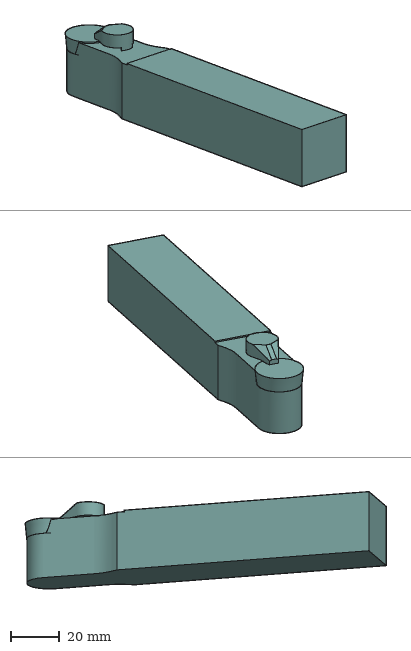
import cadquery as cq
import math

LENGTH = 150.0
SHANK_SIZE = 25.0
NECK_HALF_WIDTH = 9.3
NECK_TOP = 24.5
NECK_END_X = 45.6
FLARE_START_X = 31.8
FLARE_ARC_LENGTH_X = 8.0
FLARE_ANGLE = math.radians(26)

INSERT_RADIUS = 20.0 / 2
INSERT_THICKNESS = 6.3
INSERT_OVERHANG = 0.08
INSERT_BOTTOM_RADIUS = NECK_HALF_WIDTH + INSERT_OVERHANG
INSERT_X = INSERT_RADIUS
INSERT_BOTTOM = SHANK_SIZE - INSERT_THICKNESS

CLAMP_TOP = 31.5
CLAMP_BOTTOM = 25.8
CLAMP_X = 26.5
CLAMP_RADIUS = 6.6
TIP_X = 15.0
TIP_HALF_WIDTH = 4.0 / 2
TIP_EDGE_HEIGHT = 1.6
RIDGE_HALF_WIDTH = 1.12
RIDGE_TOP_X = 20.5
FACET_TOP_X = 23.2
TOE_FLAT = 1.5
TOE_END_X = 19.5
HEEL_FRONT_X = 30.3
HEEL_HALF_WIDTH = 3.0


def make_shank():
    half_width = SHANK_SIZE / 2
    arc_radius = FLARE_ARC_LENGTH_X / math.sin(FLARE_ANGLE)

    def flare_point(angle):
        return (
            FLARE_START_X + arc_radius * math.sin(angle),
            NECK_HALF_WIDTH + arc_radius * (1 - math.cos(angle)),
        )

    def mirrored(point):
        return (point[0], -point[1])

    arc_middle = flare_point(FLARE_ANGLE / 2)
    arc_end = flare_point(FLARE_ANGLE)
    flare_end_x = arc_end[0] + (half_width - arc_end[1]) / math.tan(FLARE_ANGLE)
    flare_end = (flare_end_x, half_width)
    neck_start = (INSERT_X, NECK_HALF_WIDTH)
    body = (
        cq.Workplane("XY")
        .moveTo(*mirrored(neck_start))
        .threePointArc((INSERT_X - NECK_HALF_WIDTH, 0), neck_start)
        .lineTo(FLARE_START_X, NECK_HALF_WIDTH)
        .threePointArc(arc_middle, arc_end)
        .lineTo(*flare_end)
        .lineTo(LENGTH, half_width)
        .lineTo(LENGTH, -half_width)
        .lineTo(*mirrored(flare_end))
        .lineTo(*mirrored(arc_end))
        .threePointArc(mirrored(arc_middle), (FLARE_START_X, -NECK_HALF_WIDTH))
        .close()
        .extrude(SHANK_SIZE)
    )
    lowered_top = (
        cq.Workplane("XY", origin=(NECK_END_X / 2, 0, NECK_TOP))
        .rect(NECK_END_X, 2 * SHANK_SIZE)
        .extrude(SHANK_SIZE)
    )
    return body.cut(lowered_top)


def make_insert():
    """Round disc narrowing towards its bottom face."""
    profile = [
        (0, INSERT_BOTTOM),
        (INSERT_BOTTOM_RADIUS, INSERT_BOTTOM),
        (INSERT_RADIUS, SHANK_SIZE),
        (0, SHANK_SIZE),
    ]
    disc = cq.Workplane("XZ").polyline(profile).close().revolve(360, (0, 0), (0, 1))
    return disc.translate((INSERT_X, 0, 0))


def clamp_outline():
    """Plan of the clamp: a round head with a tail tangent to it, NECK_TOP up to CLAMP_TOP."""
    to_tip_x = CLAMP_X - TIP_X
    tip_distance = math.hypot(to_tip_x, TIP_HALF_WIDTH)
    tangent_angle = (
        math.pi
        - math.atan2(TIP_HALF_WIDTH, to_tip_x)
        - math.acos(CLAMP_RADIUS / tip_distance)
    )
    tangent_x = CLAMP_X + CLAMP_RADIUS * math.cos(tangent_angle)
    tangent_y = CLAMP_RADIUS * math.sin(tangent_angle)
    return (
        cq.Workplane("XY", origin=(0, 0, NECK_TOP))
        .moveTo(TIP_X, -TIP_HALF_WIDTH)
        .lineTo(tangent_x, -tangent_y)
        .threePointArc((CLAMP_X + CLAMP_RADIUS, 0), (tangent_x, tangent_y))
        .lineTo(TIP_X, TIP_HALF_WIDTH)
        .close()
        .extrude(CLAMP_TOP - NECK_TOP)
    )


def above_plane(point, normal):
    """Large block on the side of a plane that its normal points to."""
    block_size = 4 * CLAMP_RADIUS
    plane = cq.Plane(origin=point.toTuple(), normal=normal.toTuple())
    return cq.Workplane(plane).rect(2 * block_size, 2 * block_size).extrude(block_size)


def ridge_top_corner(side):
    return cq.Vector(RIDGE_TOP_X, side * RIDGE_HALF_WIDTH, CLAMP_TOP)


def facet_normal(side):
    """Upward normal of the plane through the ridge's top corner, the rim and a tip corner."""
    rim_half_width = math.sqrt(CLAMP_RADIUS**2 - (CLAMP_X - FACET_TOP_X) ** 2)
    ridge_corner = ridge_top_corner(side)
    rim_point = cq.Vector(FACET_TOP_X, side * rim_half_width, CLAMP_TOP)
    tip_corner = cq.Vector(TIP_X, side * TIP_HALF_WIDTH, SHANK_SIZE + TIP_EDGE_HEIGHT)
    return (rim_point - ridge_corner).cross(tip_corner - ridge_corner) * side


def make_underside():
    """Space below the clamp: it rises from the toe on the insert to the bridge."""
    return (
        cq.Workplane("XZ")
        .moveTo(TIP_X, NECK_TOP)
        .lineTo(TIP_X, SHANK_SIZE)
        .lineTo(TIP_X + TOE_FLAT, SHANK_SIZE)
        .lineTo(TOE_END_X, CLAMP_BOTTOM)
        .lineTo(CLAMP_X + CLAMP_RADIUS, CLAMP_BOTTOM)
        .lineTo(CLAMP_X + CLAMP_RADIUS, NECK_TOP)
        .close()
        .extrude(2 * CLAMP_RADIUS, both=True)
    )


def make_heel():
    """Lens-shaped foot under the back of the head: bowed front, back flush with the head."""
    corner_x = CLAMP_X + math.sqrt(CLAMP_RADIUS**2 - HEEL_HALF_WIDTH**2)
    return (
        cq.Workplane("XY", origin=(0, 0, NECK_TOP))
        .moveTo(corner_x, -HEEL_HALF_WIDTH)
        .threePointArc((HEEL_FRONT_X, 0), (corner_x, HEEL_HALF_WIDTH))
        .threePointArc((CLAMP_X + CLAMP_RADIUS, 0), (corner_x, -HEEL_HALF_WIDTH))
        .close()
        .extrude(CLAMP_BOTTOM - NECK_TOP)
    )


def make_clamp():
    clamp = clamp_outline()
    for side in (-1, 1):
        clamp = clamp.cut(above_plane(ridge_top_corner(side), facet_normal(side)))

    normal = facet_normal(1)
    ridge_normal = cq.Vector(normal.x, 0, normal.z)
    clamp = clamp.cut(above_plane(cq.Vector(RIDGE_TOP_X, 0, CLAMP_TOP), ridge_normal))

    return clamp.cut(make_underside()).union(make_heel())


insert = make_insert()
holder = make_shank().cut(insert).union(make_clamp())

result = cq.Compound.makeCompound([holder.val(), insert.val()])